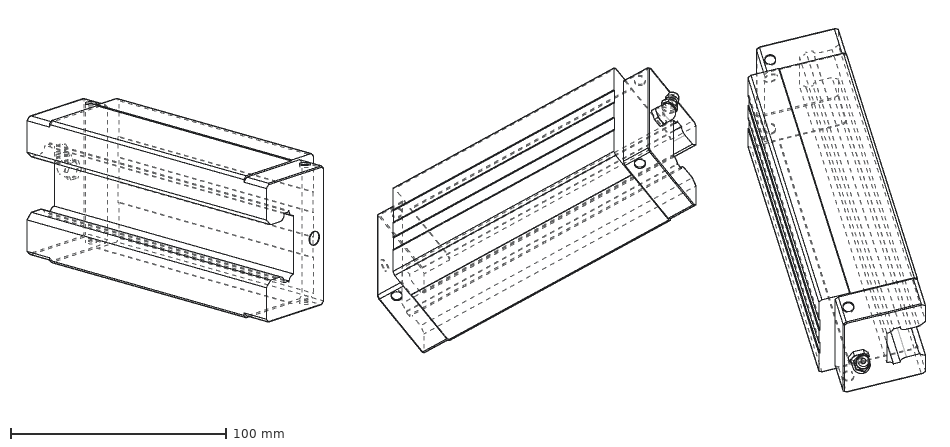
import cadquery as cq
import math


block_length = 123.2
block_height = 47.5
block_width = 70.0
lower_width = 69.2
shoulder_y = 32.7
mount_chamfer = 1.5
skirt_chamfer = 1.5
relief_inner_z = 6.0
relief_outer_z = 16.0
relief_depth = 0.5

cap_length = 14.2
cap_height = 39.6
cap_width = 67.7
cap_back_chamfer = 1.5
cap_front_chamfer = 2.0
cap_rim_chamfer = 0.5
cap_hole_diameter = 5.1
cap_hole_depth = 1.0
cap_hole_inset = 8.0
cap_hole_y = 35.0

channel_depth = 18.7
floor_half_width = 14.2
mouth_half_width = 13.5
mouth_chamfer = 3.0
groove_half_width = 16.9
groove_front_y = 12.2
groove_back_y = 15.5
inner_bead_radius = 3.2
outer_bead_radius = 3.0

port_y = 32.5
plug_diameter = 6.6
plug_height = 0.4
base_hex_flats = 8.4
base_hex_length = 2.1
elbow_radius = 4.1
elbow_straight = 3.3
nipple_tilt = 20.0
nipple_hex_flats = 7.0
nipple_hex_start = 3.3
nipple_hex_end = 5.9
nipple_hex_chamfer_height = 0.9
collar_radius = 3.0
collar_end = 7.1
neck_radius = 0.8
head_start = 8.35
head_end = 10.9
head_base_radius = 3.2
head_tip_radius = 2.6
ball_radius = 1.6
ball_bulge = 0.5

body_length = block_length + 2 * cap_length
end_x = body_length / 2
block_end_x = block_length / 2
elbow_length = base_hex_length + elbow_straight
elbow_centre_x = -end_x - elbow_length


def across_corners(across_flats):
    return across_flats / math.cos(math.pi / 6)


def make_block():
    half_upper = block_width / 2
    half_lower = lower_width / 2
    shoulder_step = half_upper - half_lower
    profile = [
        (0, 0),
        (0, half_lower - skirt_chamfer),
        (skirt_chamfer, half_lower),
        (shoulder_y - shoulder_step, half_lower),
        (shoulder_y, half_upper),
        (block_height - mount_chamfer, half_upper),
        (block_height, half_upper - mount_chamfer),
        (block_height, relief_outer_z),
        (block_height - relief_depth, relief_outer_z),
        (block_height - relief_depth, relief_inner_z),
        (block_height, relief_inner_z),
        (block_height, 0),
    ]
    half = cq.Workplane("YZ", origin=(-block_end_x, 0, 0)).polyline(profile).close().extrude(block_length)
    return half.union(half.mirror("XY"))


def make_left_cap():
    half_width = cap_width / 2
    profile = [
        (0, half_width - cap_front_chamfer),
        (cap_front_chamfer, half_width),
        (cap_height - cap_back_chamfer, half_width),
        (cap_height, half_width - cap_back_chamfer),
    ]
    profile += [(y, -z) for y, z in reversed(profile)]
    cap = cq.Workplane("YZ", origin=(-end_x, 0, 0)).polyline(profile).close().extrude(cap_length)
    rim_box = cq.selectors.BoxSelector(
        (-end_x - cap_rim_chamfer, cap_front_chamfer, -block_width),
        (-end_x + cap_rim_chamfer, block_height, block_width),
    )
    cap = cap.edges(rim_box).chamfer(cap_rim_chamfer)

    for side in (1, -1):
        hole_floor_z = side * (half_width - cap_hole_depth)
        hole = (
            cq.Workplane("XY", origin=(-end_x + cap_hole_inset, cap_hole_y, hole_floor_z))
            .circle(cap_hole_diameter / 2)
            .extrude(side * 2 * cap_hole_depth)
        )
        cap = cap.cut(hole)
    return cap


def make_channel():
    inner_angle = math.acos((channel_depth - groove_back_y) / inner_bead_radius)
    inner_centre = (channel_depth, floor_half_width + inner_bead_radius)
    inner_drop = inner_bead_radius * math.sin(inner_angle)
    inner_mid_angle = (inner_angle + math.pi / 2) / 2
    outer_centre = (groove_front_y - outer_bead_radius, mouth_half_width + outer_bead_radius)
    diagonal = outer_bead_radius * math.sqrt(0.5)

    half = (
        cq.Workplane("YZ", origin=(-end_x, 0, 0))
        .moveTo(0, 0)
        .lineTo(0, mouth_half_width + mouth_chamfer)
        .lineTo(mouth_chamfer, mouth_half_width)
        .lineTo(outer_centre[0], mouth_half_width)
        .threePointArc(
            (outer_centre[0] + diagonal, outer_centre[1] - diagonal),
            (groove_front_y, outer_centre[1]),
        )
        .lineTo(groove_front_y, groove_half_width)
        .lineTo(groove_back_y, groove_half_width)
        .lineTo(groove_back_y, inner_centre[1] - inner_drop)
        .threePointArc(
            (
                inner_centre[0] - inner_bead_radius * math.cos(inner_mid_angle),
                inner_centre[1] - inner_bead_radius * math.sin(inner_mid_angle),
            ),
            (channel_depth, floor_half_width),
        )
        .lineTo(channel_depth, 0)
        .close()
        .extrude(body_length)
    )
    return half.union(half.mirror("XY"))


def make_elbow():
    face = cq.Workplane("YZ", origin=(-end_x, port_y, 0))
    base_hex = face.polygon(6, across_corners(base_hex_flats)).extrude(-base_hex_length)
    barrel = face.circle(elbow_radius).extrude(-elbow_length)
    ball_end = cq.Workplane("XY", origin=(elbow_centre_x, port_y, 0)).sphere(elbow_radius)
    return base_hex.union(barrel).union(ball_end)


def make_nipple():
    hex_corner_radius = across_corners(nipple_hex_flats) / 2
    hex_envelope = (
        cq.Workplane("XZ")
        .polyline([
            (0, 0),
            (hex_corner_radius, 0),
            (hex_corner_radius, nipple_hex_end - nipple_hex_chamfer_height),
            (collar_radius, nipple_hex_end),
            (0, nipple_hex_end),
        ])
        .close()
        .revolve(360, (0, 0), (0, 1))
    )
    hexagon = (
        cq.Workplane("XY", origin=(0, 0, nipple_hex_start))
        .polygon(6, across_corners(nipple_hex_flats))
        .extrude(nipple_hex_end - nipple_hex_start)
        .intersect(hex_envelope)
    )
    turned = (
        cq.Workplane("XZ")
        .polyline([
            (0, 0),
            (collar_radius, 0),
            (collar_radius, collar_end),
            (neck_radius, collar_end),
            (neck_radius, head_start),
            (head_base_radius, head_start),
            (head_tip_radius, head_end),
            (0, head_end),
        ])
        .close()
        .revolve(360, (0, 0), (0, 1))
    )
    ball = cq.Workplane("XY", origin=(0, 0, head_end + ball_bulge - ball_radius)).sphere(ball_radius)
    nipple = hexagon.union(turned).union(ball)
    return nipple.rotate((0, 0, 0), (0, 1, 0), -nipple_tilt).translate((elbow_centre_x, port_y, 0))


def make_plug():
    return cq.Workplane("YZ", origin=(end_x, port_y, 0)).circle(plug_diameter / 2).extrude(plug_height)


left_cap = make_left_cap()
right_cap = left_cap.mirror("YZ")
carriage = make_block().union(left_cap).union(right_cap).cut(make_channel())
result = carriage.union(make_elbow()).union(make_nipple()).union(make_plug())